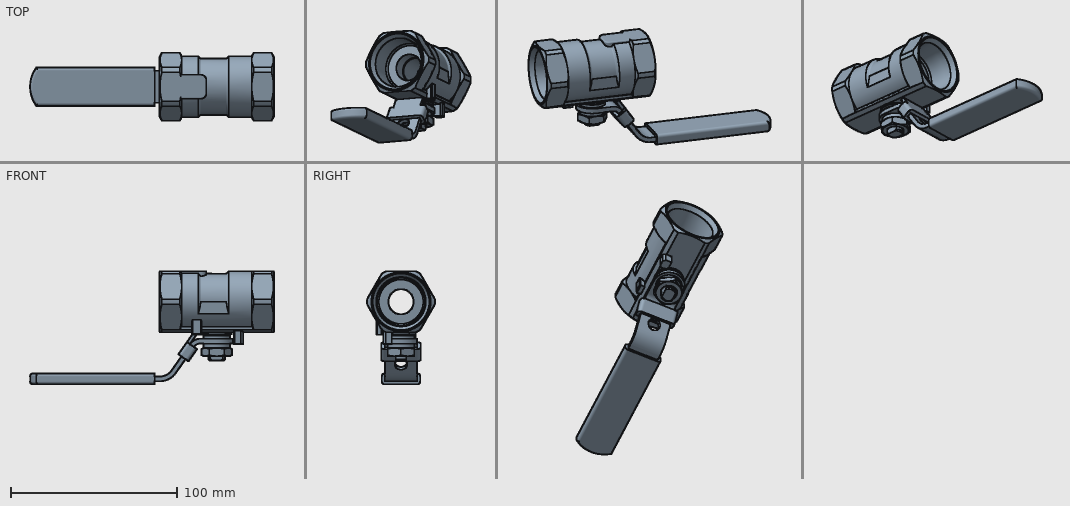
import cadquery as cq
import math


body_length = 69.0
hex_flats = 37.0
hex_corner_d = 41.0
hex_length = 13.4
hex_end_d = 35.8
hex_chamfer_angle = math.radians(30)
barrel_d = hex_flats
neck_d = 34.0
neck_left = -9.75
neck_right = 5.85
neck_root_r = 0.8
neck_flats = 34.1
pad_width = 23.4
neck_shoulder = (barrel_d - neck_d) / 2
body_left = -body_length / 2
body_bottom = -hex_flats / 2

tab_width = 14.4
tab_end = -6.2
tab_corner_r = 3.3
tab_edge_r = 0.8

stop_chamfer = 0.7
end_stop_far_chamfer = 1.5
side_stop_length = 6.0
side_stop_center = -12.0
side_stop_top = -10.0
side_stop_outer_y = -15.0
side_stop_bottom = -20.0
side_stop_root = 2.0
end_stop_left = 10.3
end_stop_right = 16.1
end_stop_outer_y = -10.8
end_stop_inner_y = -5.5
end_stop_bottom = -25.5
stem_boss_d = 18.0
stem_boss_height = 1.0

mouth_d = 34.0
mouth_depth = 3.2
port_d = 29.9
port_end_d = 28.8
port_cone_angle = math.radians(45)
port_depth = 19.2
retainer_d = 26.7
retainer_bore_d = 16.0
retainer_length = 10.0
flow_bore_d = 15.0

stem_d = 10.0
stem_hole_d = 10.1
stem_flats = 6.6
stem_top = -11.0
stem_chamfer = 0.8
stem_projection = 2.6
washer_d = 16.0
upper_washer_thickness = 1.8
lower_washer_thickness = 2.6
nut_flats = 16.0
nut_height = 5.0
nut_chamfer_height = 0.7
nut_chamfer_width = 1.4

lever_width = 19.5
lever_thickness = 3.0
lever_top = -22.2
lever_angle = math.radians(55)
upper_bend_x = -13.0
upper_bend_r = 6.0
lower_bend_r = 10.2
lever_hole_d = 7.5
lever_hole_along = 16.2

grip_tip = -112.43
grip_length = 75.0
grip_wall = 1.85
grip_bottom = -49.8
grip_end_r = 19.2
slide_wall = 2.25
slide_start = 3.3
slide_length = 9.0
lock_plate_width = 17.6
lock_plate_length = 6.5

upper_washer_bottom = lever_top
upper_washer_top = lever_top + upper_washer_thickness
lever_bottom = lever_top - lever_thickness
nut_top = lever_bottom - lower_washer_thickness
nut_bottom = nut_top - nut_height
stem_bottom = nut_bottom - stem_projection
lever_mid = lever_top - lever_thickness / 2
grip_width = lever_width + 2 * grip_wall
grip_height = lever_thickness + 2 * grip_wall
grip_mid = grip_bottom + grip_height / 2
grip_right = grip_tip + grip_length
lower_bend_x = upper_bend_x - (lever_mid - grip_mid) / math.tan(lever_angle)


def block(x_range, y_range, z_range):
    """Box between two limits on each axis."""
    size = [high - low for low, high in (x_range, y_range, z_range)]
    return cq.Workplane("XY").box(*size, centered=False).translate((x_range[0], y_range[0], z_range[0]))


def upright_disc(diameter, bottom, top):
    """Cylinder around the stem axis."""
    return cq.Workplane("XY").workplane(offset=bottom).circle(diameter / 2).extrude(top - bottom)


def revolve_on_flow_axis(points):
    """Solid of revolution about X from (x, radius) points."""
    return cq.Workplane("XY").polyline(points).close().revolve(360, (0, 0, 0), (1, 0, 0))


def wrench_hex():
    """Hexagon at the left end of the body with cut corners and chamfered ends."""
    corner_r = hex_corner_d / 2
    slope = math.tan(hex_chamfer_angle)
    outer_run = (corner_r - hex_end_d / 2) * slope
    inner_run = (corner_r - barrel_d / 2) * slope
    right = body_left + hex_length
    prism = (
        cq.Workplane("YZ")
        .workplane(offset=body_left)
        .polygon(6, hex_flats / math.cos(math.pi / 6))
        .extrude(hex_length)
    )
    envelope = revolve_on_flow_axis([
        (body_left, 0),
        (body_left, hex_end_d / 2),
        (body_left + outer_run, corner_r),
        (right - inner_run, corner_r),
        (right, barrel_d / 2),
        (right, 0),
    ])
    return prism.intersect(envelope)


def barrel():
    """Round middle with a waist that is straight-sided below the flow axis."""
    barrel_r = barrel_d / 2
    waist_left = neck_left - neck_shoulder
    waist_right = neck_right + neck_shoulder
    inner_left = body_left + hex_length
    round_part = revolve_on_flow_axis([
        (inner_left, 0),
        (inner_left, barrel_r),
        (waist_left, barrel_r),
        (neck_left, neck_d / 2),
        (neck_right, neck_d / 2),
        (waist_right, barrel_r),
        (-inner_left, barrel_r),
        (-inner_left, 0),
    ])
    round_part = round_part.edges(cq.selectors.RadiusNthSelector(0)).fillet(neck_root_r)
    core = block((waist_left, waist_right), (-neck_flats / 2, neck_flats / 2), (body_bottom, 0))
    barrel_cylinder = cq.Workplane("YZ").circle(barrel_r).extrude(body_length / 2, both=True)
    return round_part.union(core.intersect(barrel_cylinder))


def bottom_pad():
    """Flat-bottomed pad that joins the two hexagons, its lower edges on the corner cylinder."""
    reach = body_length / 2 - hex_length / 2
    pad = block((-reach, reach), (-pad_width / 2, pad_width / 2), (body_bottom, -port_d / 2))
    corner_cylinder = cq.Workplane("YZ").circle(hex_corner_d / 2).extrude(reach, both=True)
    return pad.intersect(corner_cylinder)


def top_tab():
    """Tab level with the top flat, reaching over the waist."""
    tab_start = body_left + hex_length / 2
    return (
        block((tab_start, tab_end), (-tab_width / 2, tab_width / 2), (port_d / 2, hex_flats / 2))
        .edges("|Z and >X")
        .fillet(tab_corner_r)
        .faces(">Z")
        .edges("not <X")
        .fillet(tab_edge_r)
    )


def side_stop():
    """Lug on the -Y side of the body, with a root that reaches into the barrel."""
    half = side_stop_length / 2
    return (
        block(
            (side_stop_center - half, side_stop_center + half),
            (side_stop_outer_y, -pad_width / 2),
            (side_stop_bottom, side_stop_top),
        )
        .faces("<Y")
        .edges("|Z or <Z")
        .chamfer(stop_chamfer)
        .union(
            block(
                (side_stop_center - half, side_stop_center + half),
                (-pad_width / 2, -pad_width / 2 + side_stop_root),
                (body_bottom + side_stop_root, side_stop_top),
            )
        )
    )


def end_stop():
    """Post hanging beside the round end of the lever."""
    return (
        block(
            (end_stop_left, end_stop_right),
            (end_stop_outer_y, end_stop_inner_y),
            (end_stop_bottom, -port_d / 2),
        )
        .edges("<X and <Y")
        .chamfer(stop_chamfer)
        .edges(">X and <Y")
        .chamfer(end_stop_far_chamfer)
    )


def port():
    """Tapered female port at the left end, with a lead-in chamfer and a coned bottom."""
    floor = body_left + port_depth
    cone_length = (port_end_d - retainer_d) / 2 / math.tan(port_cone_angle)
    return revolve_on_flow_axis([
        (body_left, 0),
        (body_left, mouth_d / 2),
        (body_left + mouth_depth, port_d / 2),
        (floor - cone_length, port_end_d / 2),
        (floor, retainer_d / 2),
        (floor, 0),
    ])


def valve_body():
    """Body with its hexagons, lugs and ports, and a blind hole for the stem."""
    solid = barrel().union(bottom_pad()).union(top_tab()).union(side_stop()).union(end_stop())
    solid = solid.union(upright_disc(stem_boss_d, body_bottom - stem_boss_height, -port_d / 2))
    retainer_left = body_left + port_depth
    retainer_pocket = (
        cq.Workplane("YZ").workplane(offset=retainer_left).circle(retainer_d / 2).extrude(retainer_length)
    )
    flow_bore = cq.Workplane("YZ").circle(flow_bore_d / 2).extrude(body_length / 2, both=True)
    for part in (wrench_hex(), wrench_hex().mirror("YZ")):
        solid = solid.union(part)
    for cavity in (port(), port().mirror("YZ"), retainer_pocket, flow_bore):
        solid = solid.cut(cavity)
    return solid.cut(upright_disc(stem_hole_d, body_bottom - stem_boss_height, stem_top))


def seat_retainer():
    """Ring that holds the seat, level with the bottom of the left port."""
    return (
        cq.Workplane("YZ")
        .workplane(offset=body_left + port_depth)
        .circle(retainer_d / 2)
        .circle(retainer_bore_d / 2)
        .extrude(retainer_length)
    )


def flatted_section(bottom, top):
    """Stem section with two flats facing -Y and +Y."""
    flats = block((-stem_d, stem_d), (-stem_flats / 2, stem_flats / 2), (bottom, top))
    return upright_disc(stem_d, bottom, top).intersect(flats)


def stem():
    """Round stem, flatted from the top of the lever down and chamfered at its lower end."""
    shaft = upright_disc(stem_d, stem_bottom, stem_top).faces("<Z").chamfer(stem_chamfer)
    flatted = flatted_section(stem_bottom, lever_top)
    return shaft.intersect(flatted.union(upright_disc(stem_d, lever_top, stem_top)))


def washer(bottom, top):
    """Plain washer around the stem."""
    return upright_disc(washer_d, bottom, top).cut(upright_disc(stem_hole_d, bottom, top))


def nut():
    """Hexagon nut with both ends chamfered."""
    corner_d = nut_flats / math.cos(math.pi / 6)
    prism = cq.Workplane("XY").workplane(offset=nut_bottom).polygon(6, corner_d).extrude(nut_height)
    envelope = upright_disc(corner_d, nut_bottom, nut_top).faces("<Z or >Z").chamfer(
        nut_chamfer_height, nut_chamfer_width
    )
    return prism.intersect(envelope).cut(upright_disc(stem_d, nut_bottom, nut_top))


def on_slope(along):
    """Point (x, z) on the mid-plane of the sloping part, measured down from the upper bend."""
    x = upper_bend_x - along * math.cos(lever_angle)
    z = lever_mid - along * math.sin(lever_angle)
    return x, z


def slope_plane():
    """Plane across the slope at the upper bend: local x along Y, normal down the slope."""
    normal = (-math.cos(lever_angle), 0, -math.sin(lever_angle))
    return cq.Plane(origin=(upper_bend_x, 0, lever_mid), xDir=(0, -1, 0), normal=normal)


def rounded_end(radius, width, tip, right, thickness):
    """Horizontal slab centred on the grip level whose left end is an arc."""
    half = width / 2
    shoulder = tip + radius - math.sqrt(radius**2 - half**2)
    return (
        cq.Workplane("XY")
        .workplane(offset=grip_mid - thickness / 2)
        .moveTo(right, -half)
        .lineTo(shoulder, -half)
        .threePointArc((tip, 0), (shoulder, half))
        .lineTo(right, half)
        .close()
        .extrude(thickness)
    )


def lever_blank_end():
    """Part of the lever inside the grip."""
    return rounded_end(
        grip_end_r - grip_wall, lever_width, grip_tip + grip_wall, grip_right, lever_thickness
    )


def lever():
    """Flat bar with two bends, round at the stem and at the tip."""
    upper_tangent = upper_bend_r * math.tan(lever_angle / 2)
    lower_tangent = lower_bend_r * math.tan(lever_angle / 2)
    slope_length = (lever_mid - grip_mid) / math.sin(lever_angle)
    half_angle = lever_angle / 2
    upper_start = upper_bend_x + upper_tangent
    lower_end = lower_bend_x - lower_tangent
    upper_mid = (
        upper_start - upper_bend_r * math.sin(half_angle),
        lever_mid - upper_bend_r * (1 - math.cos(half_angle)),
    )
    lower_mid = (
        lower_end + lower_bend_r * math.sin(half_angle),
        grip_mid + lower_bend_r * (1 - math.cos(half_angle)),
    )
    path = (
        cq.Workplane("XZ")
        .moveTo(0, lever_mid)
        .lineTo(upper_start, lever_mid)
        .threePointArc(upper_mid, on_slope(upper_tangent))
        .lineTo(*on_slope(slope_length - lower_tangent))
        .threePointArc(lower_mid, (lower_end, grip_mid))
        .lineTo(grip_right, grip_mid)
    )
    bar = (
        cq.Workplane("YZ", origin=(0, 0, lever_mid)).rect(lever_width, lever_thickness).sweep(path)
    )
    stem_end = upright_disc(lever_width, lever_bottom, lever_top)
    hole_x, hole_z = on_slope(lever_hole_along)
    hole_plane = cq.Plane(
        origin=(hole_x, 0, hole_z),
        xDir=(0, 1, 0),
        normal=(-math.sin(lever_angle), 0, math.cos(lever_angle)),
    )
    hole = cq.Workplane(hole_plane).circle(lever_hole_d / 2).extrude(lever_thickness, both=True)
    solid = bar.union(stem_end).union(lever_blank_end())
    return solid.cut(hole).cut(flatted_section(lever_bottom, lever_top))


def grip():
    """Rounded sleeve over the end of the lever."""
    outer = (
        rounded_end(grip_end_r, grip_width, grip_tip, grip_right, grip_height)
        .faces("<Z or >Z")
        .edges("not >X")
        .fillet(grip_wall)
    )
    return outer.cut(lever_blank_end())


def lock_slide():
    """Sleeve around the sloping bar, with a plate that runs up to the body."""
    sleeve_height = lever_thickness + 2 * slide_wall
    plane = slope_plane()
    sleeve = (
        cq.Workplane(plane)
        .workplane(offset=slide_start)
        .rect(lever_width + 2 * slide_wall, sleeve_height)
        .extrude(slide_length)
        .edges(cq.selectors.ParallelDirSelector(plane.zDir))
        .fillet(slide_wall)
    )
    opening = (
        cq.Workplane(plane)
        .workplane(offset=slide_start)
        .rect(lever_width, lever_thickness)
        .extrude(slide_length)
    )
    plate_across = (lever_thickness + slide_wall) / 2
    plate = (
        cq.Workplane(plane)
        .workplane(offset=slide_start - lock_plate_length)
        .center(0, plate_across)
        .rect(lock_plate_width, slide_wall)
        .extrude(lock_plate_length + slide_length)
    )
    return sleeve.union(plate).cut(opening)


result = cq.Compound.makeCompound([
    valve_body().val(),
    seat_retainer().val(),
    stem().val(),
    washer(upper_washer_bottom, upper_washer_top).val(),
    washer(nut_top, lever_bottom).val(),
    nut().val(),
    lever().val(),
    grip().val(),
    lock_slide().val(),
])